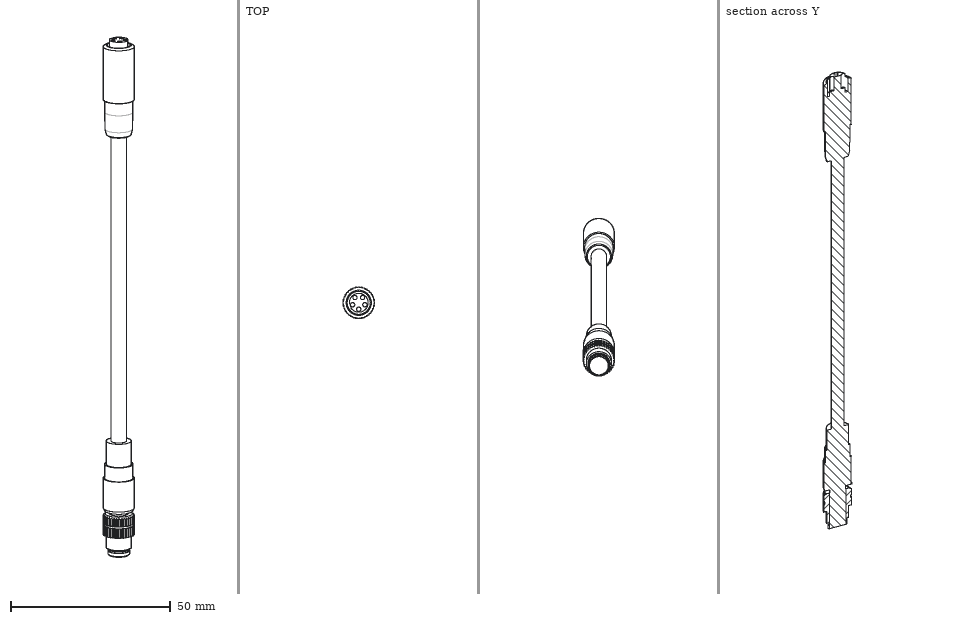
import cadquery as cq
import math

length = 168.7
body_dia = 9.8
knurl_dia = 10.0
waist_dia = 9.0
end_dia = 8.0
cable_dia = 4.9

lead_dia = 7.0
lead_len = 2.4
lead_chamfer = 0.3
lead_groove_z = 1.3
lead_groove_width = 0.5
lead_groove_depth = 0.2
knurl_bottom_z = 6.7
screw_top_z = 13.5
knurl_chamfer = 0.7
knurl_count = 36
knurl_depth = 0.3
knurl_fill = 0.8
grip_groove_width = 0.7
bore_dia = 5.9

plug_bottom_z = 14.5
plug_chamfer_height = 0.8
plug_shoulder_z = 25.1
plug_collar_z = 29.7
plug_top_z = 37.3
arrow_width = 2.0
arrow_root_depth = 0.8
arrow_height = 3.4

socket_bottom_z = 137.5
socket_taper_z = 139.5
socket_collar_z = 145.0
socket_shoulder_z = 149.1
socket_rim_z = 166.5
socket_face_z = 167.0
socket_tail_dia = 8.8
tail_chamfer = 0.3
nose_dia = 5.9
contact_count = 5
contact_hole_dia = 1.3
contact_circle_radius = 2.0
contact_hole_depth = 5.0
recess_dia = 7.3
recess_depth = 5.0
keyway_width = 1.9
keyway_depth = 0.2
keyway_angle = 198


def revolved(profile):
    """Solid of revolution about Z from (diameter, z) points listed upward, closed on the axis."""
    points = [(0, profile[0][1])]
    points += [(diameter / 2, z) for diameter, z in profile]
    points += [(0, profile[-1][1])]
    return cq.Workplane("XZ").polyline(points).close().revolve(360, (0, 0, 0), (0, 1, 0))


def ring(outer_dia, inner_dia, bottom_z, height):
    """Plain ring around Z."""
    outline = cq.Workplane("XY").workplane(offset=bottom_z).circle(outer_dia / 2)
    return outline.circle(inner_dia / 2).extrude(height)


def knurl_grooves():
    """Straight V grooves around the knurled grip."""
    height = screw_top_z - knurl_bottom_z
    radius = knurl_dia / 2
    half_width = knurl_fill * math.pi * radius / knurl_count
    groove = (
        cq.Workplane("XY")
        .workplane(offset=knurl_bottom_z)
        .moveTo(radius - knurl_depth, 0)
        .lineTo(radius + knurl_depth, -2 * half_width)
        .lineTo(radius + knurl_depth, 2 * half_width)
        .close()
        .extrude(height)
    )
    step = 360 / knurl_count
    solids = [groove.rotate((0, 0, 0), (0, 0, 1), (i + 0.5) * step).val() for i in range(knurl_count)]
    return cq.Workplane(cq.Compound.makeCompound(solids))


def make_coupling_screw():
    """Knurled screw with a thread lead below; it turns on the neck of the plug."""
    screw = revolved([
        (lead_dia - 2 * lead_chamfer, 0),
        (lead_dia, lead_chamfer),
        (lead_dia, lead_len),
        (end_dia, lead_len),
        (end_dia, knurl_bottom_z),
        (knurl_dia, knurl_bottom_z),
        (knurl_dia, screw_top_z - knurl_chamfer),
        (knurl_dia - 2 * knurl_chamfer, screw_top_z),
    ])
    screw = screw.cut(knurl_grooves())
    groove_z = (knurl_bottom_z + screw_top_z - grip_groove_width) / 2
    screw = screw.cut(ring(knurl_dia, knurl_dia - 2 * knurl_depth, groove_z, grip_groove_width))
    screw = screw.cut(ring(lead_dia, lead_dia - 2 * lead_groove_depth, lead_groove_z, lead_groove_width))
    return screw.cut(cq.Workplane("XY").circle(bore_dia / 2).extrude(screw_top_z))


def cordset_core():
    """Turned shape of neck, plug moulding, cable, socket moulding and nose."""
    return revolved([
        (bore_dia, 0),
        (bore_dia, plug_bottom_z),
        (waist_dia, plug_bottom_z),
        (body_dia, plug_bottom_z + plug_chamfer_height),
        (body_dia, plug_shoulder_z),
        (waist_dia, plug_shoulder_z),
        (waist_dia, plug_collar_z),
        (end_dia, plug_collar_z),
        (end_dia, plug_top_z),
        (cable_dia, plug_top_z),
        (cable_dia, socket_bottom_z),
        (end_dia - 2 * tail_chamfer, socket_bottom_z),
        (end_dia, socket_bottom_z + tail_chamfer),
        (socket_tail_dia, socket_taper_z),
        (waist_dia, socket_collar_z),
        (waist_dia, socket_shoulder_z),
        (body_dia, socket_shoulder_z),
        (body_dia, socket_rim_z),
        (end_dia, socket_face_z),
        (nose_dia, socket_face_z),
        (nose_dia, length),
    ])


def arrow_marker():
    """Raised triangle pointing up on the -X side of the plug, flush with the largest diameter."""
    half_width = arrow_width / 2
    corners = [(-half_width, plug_bottom_z), (half_width, plug_bottom_z), (0, plug_bottom_z + arrow_height)]
    return cq.Workplane("YZ").workplane(offset=-knurl_dia / 2).polyline(corners).close().extrude(arrow_root_depth)


def contact_holes():
    """Blind holes for the contacts in the end of the nose, the first one towards -Y."""
    holes = (
        cq.Workplane("XY")
        .workplane(offset=length - contact_hole_depth)
        .polarArray(contact_circle_radius, -90, 360, contact_count)
        .circle(contact_hole_dia / 2)
    )
    return holes.extrude(contact_hole_depth)


def nose_recess():
    """Annular recess in the socket face, around the nose."""
    return ring(recess_dia, nose_dia, socket_face_z - recess_depth, recess_depth)


def keyway():
    """Shallow axial groove in the side of the nose, running its full exposed height and down the recess."""
    bottom_z = socket_face_z - recess_depth
    block = cq.Workplane("XY").box(keyway_depth, keyway_width, length - bottom_z, centered=(False, True, False))
    block = block.translate((nose_dia / 2 - keyway_depth, 0, bottom_z))
    return block.rotate((0, 0, 0), (0, 0, 1), keyway_angle)


def make_cordset():
    """Cable with its moulded plug and socket, one solid."""
    return cordset_core().union(arrow_marker()).cut(nose_recess()).cut(contact_holes()).cut(keyway())


screw = make_coupling_screw()
cordset = make_cordset()
result = cq.Compound.makeCompound([screw.val(), cordset.val()])